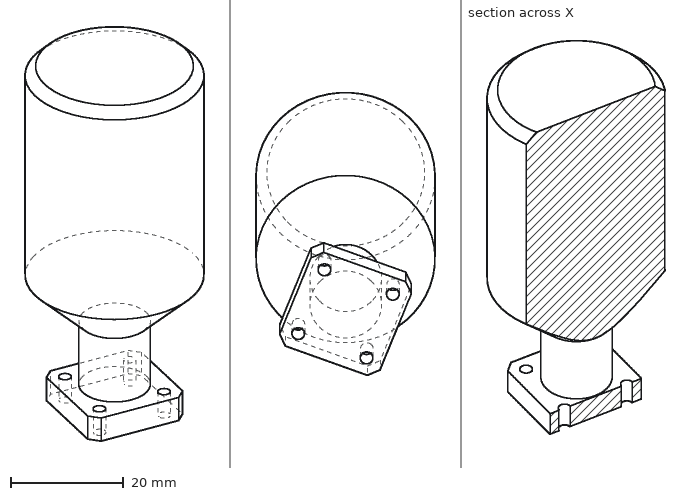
import cadquery as cq

total_height = 69.85
body_diameter = 31.8

top_chamfer = 1.9
neck_diameter = 12.7
neck_length = 13.0
cone_height = 9.35

flange_width = 19.1
flange_thickness = 4.75
flange_corner_chamfer = 1.75
hole_spacing = 13.0
hole_diameter = 2.25

neck_top = flange_thickness + neck_length
cone_top = neck_top + cone_height


def make_flange():
    """Square plate with chamfered corners and four through holes."""
    plate = (
        cq.Workplane("XY")
        .rect(flange_width, flange_width)
        .extrude(flange_thickness)
        .edges("|Z")
        .chamfer(flange_corner_chamfer)
    )
    return (
        plate.faces(">Z")
        .workplane()
        .rect(hole_spacing, hole_spacing, forConstruction=True)
        .vertices()
        .hole(hole_diameter)
    )


def make_body():
    """Neck, cone and chamfered cylinder revolved about Z."""
    body_radius = body_diameter / 2
    neck_radius = neck_diameter / 2
    profile = [
        (0, flange_thickness),
        (neck_radius, flange_thickness),
        (neck_radius, neck_top),
        (body_radius, cone_top),
        (body_radius, total_height - top_chamfer),
        (body_radius - top_chamfer, total_height),
        (0, total_height),
    ]
    return cq.Workplane("XZ").polyline(profile).close().revolve(360, (0, 0), (0, 1))


result = make_flange().union(make_body())